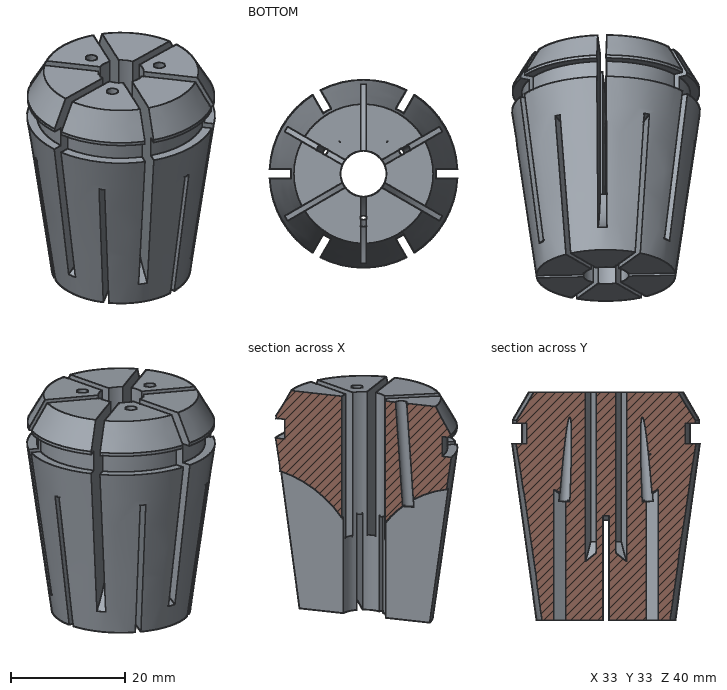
import cadquery as cq
import math

LENGTH = 40.0
BORE_RADIUS = 4.0
BOTTOM_RADIUS = 12.2
BODY_TOP_RADIUS = 16.5
BODY_TOP_Z = 31.0

GROOVE_RADIUS = 14.75
LIP_BOTTOM_Z = 34.5
LIP_TOP_Z = 35.1
LIP_RADIUS = 16.4
HEAD_ANGLE = 30.0
TOP_RADIUS = LIP_RADIUS - (LENGTH - LIP_TOP_Z) * math.tan(math.radians(HEAD_ANGLE))

SLOT_COUNT = 6
SLOT_PITCH = 360.0 / SLOT_COUNT
SAW_RADIUS = 20.0
TOP_SLOT_WIDTH = 1.6
TOP_SLOT_OUTER_Z = 4.0
TOP_SLOT_BORE_Z = 13.75
BOTTOM_SLOT_WIDTH = 1.0
BOTTOM_SLOT_OUTER_Z = 24.95
BOTTOM_SLOT_BORE_Z = 17.5

HOLE_COUNT = 3
HOLE_RADIUS = 1.0
HOLE_PITCH_RADIUS = 7.05
HOLE_TILT = 4.0
HOLE_DEPTH = 19.2
FIRST_HOLE_ANGLE = 90.0

CLEARANCE = 2.0


def taper_radius(z):
    """Outer radius of the tapered body at height z."""
    return BOTTOM_RADIUS + (BODY_TOP_RADIUS - BOTTOM_RADIUS) * z / BODY_TOP_Z


def revolved_body():
    profile = [
        (BORE_RADIUS, 0),
        (BOTTOM_RADIUS, 0),
        (BODY_TOP_RADIUS, BODY_TOP_Z),
        (GROOVE_RADIUS, BODY_TOP_Z),
        (GROOVE_RADIUS, LIP_BOTTOM_Z),
        (LIP_RADIUS, LIP_BOTTOM_Z),
        (LIP_RADIUS, LIP_TOP_Z),
        (TOP_RADIUS, LENGTH),
        (BORE_RADIUS, LENGTH),
    ]
    return cq.Workplane("XZ").polyline(profile).close().revolve(360, (0, 0), (0, 1))


def saw_slot(width, outer_z, bore_z, open_z):
    """Slot along +X, open at open_z and closed by an arc of the saw's radius.

    The arc runs from the bore to the outer taper; its centre lies outside the
    body, towards the open end.
    """
    outer_r = taper_radius(outer_z)
    run = outer_r - BORE_RADIUS
    rise = outer_z - bore_z
    chord = math.hypot(run, rise)
    sagitta = SAW_RADIUS - math.sqrt(SAW_RADIUS ** 2 - (chord / 2) ** 2)
    side = math.copysign(sagitta / chord, outer_z - open_z)
    arc_middle = (
        (BORE_RADIUS + outer_r) / 2 - side * rise,
        (bore_z + outer_z) / 2 + side * run,
    )
    far_r = BODY_TOP_RADIUS + CLEARANCE
    return (
        cq.Workplane("XZ")
        .moveTo(0, open_z)
        .lineTo(0, bore_z)
        .lineTo(BORE_RADIUS, bore_z)
        .threePointArc(arc_middle, (outer_r, outer_z))
        .lineTo(far_r, outer_z)
        .lineTo(far_r, open_z)
        .close()
        .extrude(width / 2, both=True)
    )


def coolant_hole():
    """Tilted hole in the XZ plane, entering the top face at the pitch radius."""
    entry = cq.Vector(HOLE_PITCH_RADIUS, 0, LENGTH)
    tilt = math.radians(HOLE_TILT)
    downward = cq.Vector(math.sin(tilt), 0, -math.cos(tilt))
    start = entry - downward * CLEARANCE
    return cq.Workplane(cq.Solid.makeCylinder(HOLE_RADIUS, HOLE_DEPTH + CLEARANCE, start, downward))


def cut_around(body, cutter, count, first_angle):
    """Cut equally spaced copies of the cutter around the Z axis."""
    for index in range(count):
        angle = first_angle + index * 360.0 / count
        body = body.cut(cutter.rotate((0, 0, 0), (0, 0, 1), angle))
    return body


top_slot = saw_slot(TOP_SLOT_WIDTH, TOP_SLOT_OUTER_Z, TOP_SLOT_BORE_Z, LENGTH + CLEARANCE)
bottom_slot = saw_slot(BOTTOM_SLOT_WIDTH, BOTTOM_SLOT_OUTER_Z, BOTTOM_SLOT_BORE_Z, -CLEARANCE)

result = revolved_body()
result = cut_around(result, top_slot, SLOT_COUNT, 0)
result = cut_around(result, bottom_slot, SLOT_COUNT, SLOT_PITCH / 2)
result = cut_around(result, coolant_hole(), HOLE_COUNT, FIRST_HOLE_ANGLE)